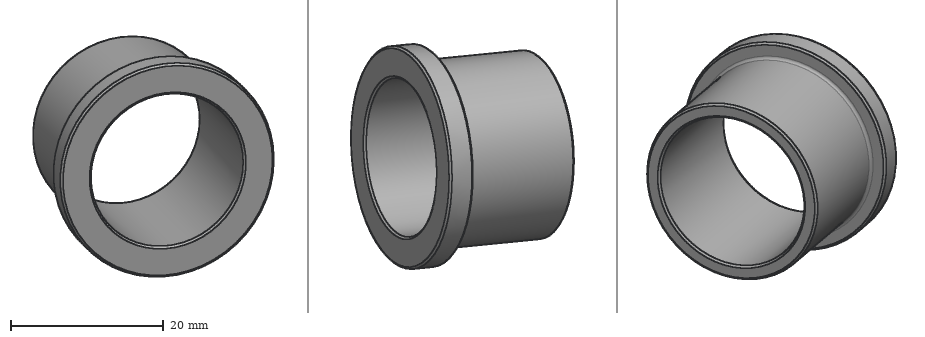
import cadquery as cq

flange_diameter = 29.5
body_diameter = 25.0
bore_diameter = 21.0
total_length = 19.5
flange_thickness = 3.5
edge_chamfer = 0.3
root_fillet = 0.4

body_length = total_length - flange_thickness


def cylinder(diameter, start, length):
    """Solid cylinder along +X, beginning at x = start."""
    return cq.Workplane("YZ", origin=(start, 0, 0)).circle(diameter / 2).extrude(length)


def rim_cone(diameter, start, direction):
    """Cone frustum that breaks a bore rim, narrowing from x = start along direction."""
    return (
        cq.Workplane("XY")
        .moveTo(start, 0)
        .lineTo(start, diameter / 2 + edge_chamfer)
        .lineTo(start + direction * edge_chamfer, diameter / 2)
        .lineTo(start + direction * edge_chamfer, 0)
        .close()
        .revolve(360, (0, 0, 0), (1, 0, 0))
    )


sleeve = cylinder(body_diameter, 0, total_length).faces("<X").chamfer(edge_chamfer)
flange = cylinder(flange_diameter, body_length, flange_thickness).edges("%CIRCLE").chamfer(edge_chamfer)
bushing = sleeve.union(flange)

flange_shoulder = bushing.faces(cq.selectors.NearestToPointSelector((body_length, 0, 0)))
bushing = flange_shoulder.edges(cq.selectors.RadiusNthSelector(0)).fillet(root_fillet)

bore = cylinder(bore_diameter, 0, total_length)
sleeve_end_rim = rim_cone(bore_diameter, 0, 1)
flange_end_rim = rim_cone(bore_diameter, total_length, -1)
result = bushing.cut(bore).cut(sleeve_end_rim).cut(flange_end_rim)